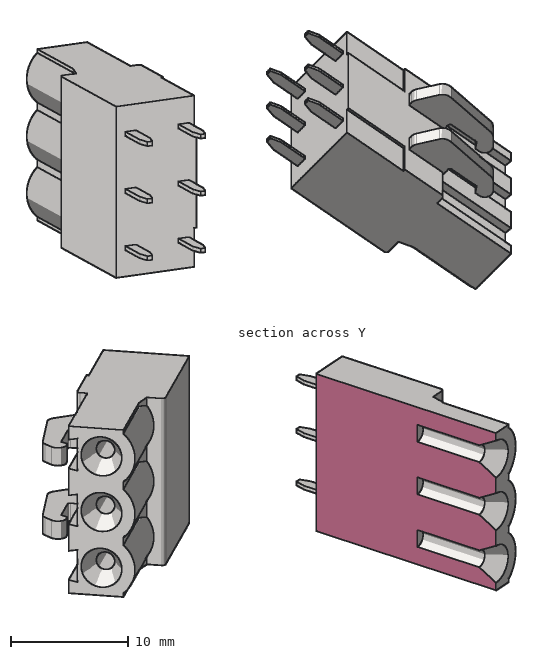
import cadquery as cq

HEIGHT = 15.25
POLES = 3
PITCH = HEIGHT / POLES
pole_heights = [(i + 0.5) * PITCH for i in range(POLES)]

BLOCK_FRONT = 8.2
BLOCK_BACK = 18.81
BLOCK_DEPTH = 7.7
BLOCK_EDGE_RADIUS = 0.3

NOSE_TOP = 6.75
WEB_BOTTOM = 1.98
RAMP_START = 6.75
RAMP_BOTTOM = 1.57
BARREL_Y = 3.88
BARREL_RADIUS = 2.92

SOCKET_MOUTH_DIAMETER = 3.55
BORE_DIAMETER = 1.6
FUNNEL_DEPTH = 1.75
SOCKET_DEPTH = BLOCK_FRONT

KEYWAY_DEPTH = 0.76
KEYWAY_MOUTH_WIDTH = 2.63
KEYWAY_FLOOR_WIDTH = 2.92

LATCH_WIDTH = 1.65
LATCH_SPACING = 6.7
HOOK_BOTTOM = 7.84
ARM_UNDERSIDE = 8.45
LATCH_BACK = 12.1
HOOK_NOSE_RADIUS = 0.75
ARM_TOP_RADIUS = 0.8
PEAK_RADIUS = 1.0
LATCH_ROOT_RADIUS = 0.2

REBATE_START = 12.55
REBATE_DEPTH = 0.2

PIN_TIP = 22.45
PIN_TAPER_START = 21.48
PIN_WIDTH = 1.0
PIN_TIP_WIDTH = 0.47
PIN_THICKNESS = 0.38
PIN_FRONT_ROW = 1.4
pin_rows = [PIN_FRONT_ROW, PIN_FRONT_ROW + PITCH]


def box(x_range, y_range, z_range):
    """Box between the given limits on each axis."""
    starts, ends = zip(x_range, y_range, z_range)
    sizes = [end - start for start, end in zip(starts, ends)]
    return cq.Workplane("XY").box(*sizes, centered=False).translate(starts)


def make_block():
    block = box((BLOCK_FRONT, BLOCK_BACK), (0, BLOCK_DEPTH), (0, HEIGHT))
    return block.edges("|Z and <X").fillet(BLOCK_EDGE_RADIUS)


def make_nose():
    web = (
        cq.Workplane("XY")
        .moveTo(0, NOSE_TOP)
        .lineTo(0, WEB_BOTTOM)
        .lineTo(RAMP_START, WEB_BOTTOM)
        .lineTo(BLOCK_FRONT, RAMP_BOTTOM)
        .lineTo(BLOCK_FRONT, NOSE_TOP)
        .close()
        .extrude(HEIGHT)
    )
    barrels = (
        cq.Workplane("YZ")
        .pushPoints([(BARREL_Y, z) for z in pole_heights])
        .circle(BARREL_RADIUS)
        .extrude(BLOCK_FRONT)
    )
    lower_half = box((0, BLOCK_FRONT), (BARREL_Y - BARREL_RADIUS, BARREL_Y), (0, HEIGHT))
    return web.union(barrels.intersect(lower_half))


def make_socket(z):
    funnel = (
        cq.Workplane("YZ")
        .center(BARREL_Y, z)
        .circle(SOCKET_MOUTH_DIAMETER / 2)
        .workplane(offset=FUNNEL_DEPTH)
        .circle(BORE_DIAMETER / 2)
        .loft(ruled=True)
    )
    bore = cq.Workplane("YZ").center(BARREL_Y, z).circle(BORE_DIAMETER / 2).extrude(SOCKET_DEPTH)
    return funnel.union(bore)


def make_keyway(z):
    floor = NOSE_TOP - KEYWAY_DEPTH
    return (
        cq.Workplane("YZ")
        .polyline([
            (NOSE_TOP, z - KEYWAY_MOUTH_WIDTH / 2),
            (floor, z - KEYWAY_FLOOR_WIDTH / 2),
            (floor, z + KEYWAY_FLOOR_WIDTH / 2),
            (NOSE_TOP, z + KEYWAY_MOUTH_WIDTH / 2),
        ])
        .close()
        .extrude(BLOCK_FRONT)
    )


def make_latch(z):
    """Hooked arm, its root sunk into the block past the rounded front edge."""
    root = BLOCK_DEPTH - BLOCK_EDGE_RADIUS
    arm_corner = (4.65, 9.97)
    peak = (10.45, 10.66)
    hook_nose = (2.83, HOOK_BOTTOM)
    hook_throat = (5.2, ARM_UNDERSIDE)
    hook_tip = (4.85, HOOK_BOTTOM)
    back_shoulder = (LATCH_BACK, 8.28)
    arm_root = (BLOCK_FRONT, ARM_UNDERSIDE)
    outline = [
        (BLOCK_FRONT, root),
        arm_root,
        hook_throat,
        hook_tip,
        hook_nose,
        arm_corner,
        peak,
        back_shoulder,
        (LATCH_BACK, root),
    ]
    latch = cq.Workplane("XY").polyline(outline).close().extrude(LATCH_WIDTH)
    corner_radii = [
        (arm_root, LATCH_ROOT_RADIUS),
        (hook_throat, LATCH_ROOT_RADIUS),
        (hook_nose, HOOK_NOSE_RADIUS),
        (arm_corner, ARM_TOP_RADIUS),
        (peak, PEAK_RADIUS),
        (back_shoulder, ARM_TOP_RADIUS),
    ]
    for (x, y), radius in corner_radii:
        corner = cq.selectors.NearestToPointSelector((x, y, LATCH_WIDTH / 2))
        latch = latch.edges("|Z").edges(corner).fillet(radius)
    return latch.translate((0, 0, z - LATCH_WIDTH / 2))


def make_pin(y, z):
    return (
        cq.Workplane("XY")
        .polyline([
            (BLOCK_BACK, y - PIN_WIDTH / 2),
            (PIN_TAPER_START, y - PIN_WIDTH / 2),
            (PIN_TIP, y - PIN_TIP_WIDTH / 2),
            (PIN_TIP, y + PIN_TIP_WIDTH / 2),
            (PIN_TAPER_START, y + PIN_WIDTH / 2),
            (BLOCK_BACK, y + PIN_WIDTH / 2),
        ])
        .close()
        .extrude(PIN_THICKNESS)
        .translate((0, 0, z - PIN_THICKNESS / 2))
    )


result = make_block().union(make_nose())

for pole_z in pole_heights:
    result = result.cut(make_socket(pole_z)).cut(make_keyway(pole_z))
    for row_y in pin_rows:
        result = result.union(make_pin(row_y, pole_z))

for side in (-1, 1):
    latch_z = HEIGHT / 2 + side * LATCH_SPACING / 2
    result = result.union(make_latch(latch_z))
    rebate_limits = sorted([latch_z + side * LATCH_WIDTH / 2, HEIGHT / 2 + side * HEIGHT / 2])
    rebate = box((REBATE_START, BLOCK_BACK), (BLOCK_DEPTH - REBATE_DEPTH, BLOCK_DEPTH), rebate_limits)
    result = result.cut(rebate)